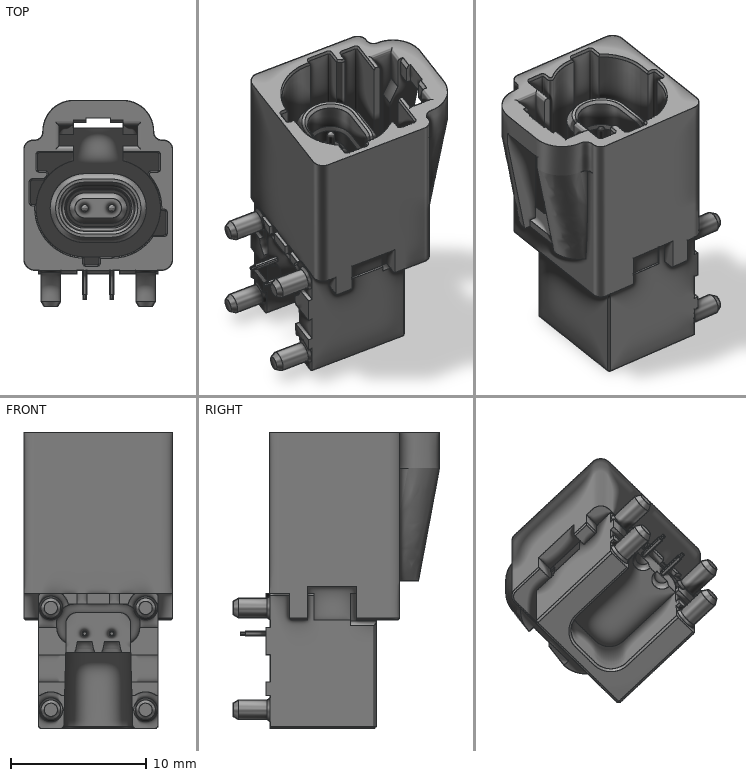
import cadquery as cq
import math

EPS = 0.5

HOUSING_W = 11.0
HOUSING_FRONT = -4.6
HOUSING_BACK = 5.03
HOUSING_BOTTOM = -13.86
HOUSING_CORNER_R = 0.85
HOUSING_BACK_CORNER_R = 0.7
HOUSING_EDGE = 0.13
FRONT_WALL_END = -11.9
SKIRT_FRONT = -3.11

HOOD_W = 8.2
HOOD_BACK = 7.97
HOOD_CORNER_R = 2.3
HOOD_BLEND_R = 0.6
HOOD_SLOPE_START = -2.67
HOOD_BOTTOM = -10.98
HOOD_SHIFT = 1.55
HOOD_BASE_Y = 2.0

CONTACT_PITCH = 2.0
CAVITY_R = 3.6
CAVITY_FLOOR = -10.4
WING_FLOOR = -9.9
KEY_FLOOR = -9.9
KEY_CORNER_R = 0.15
WING_HALF_W = 4.5
WING_BOTTOM, WING_TOP = 2.75, 4.1
WING_NOSE_R = 0.25
NOSE_REACH = 0.1
KEYWAYS = (
    (-5.0, -3.0, 0.27, 2.08),
    (3.0, 5.0, -2.0, -0.17),
    (-1.05, 0.05, -4.2, -3.0),
)
LEAD_IN, LEAD_IN_DEPTH = 0.1, 0.2

LATCH_HALF_W = 1.83
LATCH_FLOOR_END = 5.94
LATCH_WINDOW_TOP = -1.65
PANEL_TOP_Y, PANEL_BOTTOM_Y = 6.52, 6.32
PANEL_LEAD_IN_DEPTH = 0.3
PANEL_NOTCH_HALF_W = 0.9
PANEL_NOTCH_Y = 6.65
POCKET_HALF_W = 2.9
POCKET_FRONT, POCKET_BACK = 4.6, 6.1
POCKET_LOW_BACK = 5.43
POCKET_SLOPE_START, POCKET_SLOPE_END = -2.8, -4.2
POCKET_RIM_R = 0.28

SHIELD_R = 2.55
SHIELD_TOP = -2.9
SHIELD_SHOULDER_R, SHIELD_RIM_R = 2.4, 2.15
SHIELD_BEVEL = 0.25
MOUTH_R, BORE_R, LEDGE_R, BORE_LOW_R = 1.92, 1.71, 1.48, 1.35
LEDGE_TOP = -5.0
BORE_FLOOR = -8.5
ISLAND_R = 1.12
ISLAND_TOP = -5.5
ISLAND_CHAMFER = 0.4
PIN_R = 0.27
PIN_DOME_R = 0.24
PIN_TOP = -4.0

BODY_HALF_W = 4.43
BODY_FRONT = -4.54
BODY_BACK = 3.31
BODY_BOTTOM = -21.9
BODY_EDGE = 0.17
SHOULDER_TOP, SHOULDER_BOTTOM = -13.95, -14.26
SHOULDER_DEPTH = 0.3

WINDOW_FRONT, WINDOW_BACK = -1.79, 1.84
WINDOW_TOP = -11.38
TAB_FRONT, TAB_BACK = -1.31, 1.41
TAB_STEP = 0.16
TOP_EDGE = TAB_STEP

CHANNEL_HALF_W = 2.4
CHANNEL_LOW_HALF_W = 2.55
CHANNEL_BACK = 2.3
CHANNEL_FLAT_HALF_W = 0.96
INSERT_TOP, INSERT_BOTTOM = -13.32, -16.28
INSERT_CORNER_R = 0.85
FRAME_HALF_W = 3.07
FRAME_TOP, FRAME_BOTTOM = -12.7, -15.7
FRAME_CORNER_R = 1.3
FRAME_DEPTH = 0.25
NOTCH_TOP, NOTCH_FLARE = -15.47, -16.02
NOTCH_TOP_R, NOTCH_FLARE_R, NOTCH_MOUTH_R = 0.54, 0.65, 0.75

PAD_FACE = -4.86
TOP_PAD_INNER = 1.57
CENTRE_PAD_HALF_W = 0.83
MID_PAD = (-16.44, -14.42)
LOW_PAD = (-19.45, -18.43)
POST_X = 3.5
POST_Z = (-12.98, -20.5)
POST_R, POST_BASE_R, POST_TIP_R = 0.73, 0.88, 0.49
POST_BASE_END, POST_TIP_START, POST_END = -4.76, -6.88, -7.28
POST_CLEARANCE_R = 1.32
TAIL_Z = -14.87
TAIL_SIZE, TAIL_TIP_SIZE = 0.36, 0.26
TAIL_EDGE = 0.08
TAIL_SHOULDER, TAIL_END = -6.36, -6.73


def block(x0, x1, y0, y1, z0, z1):
    """Axis-aligned box between two opposite corners."""
    return cq.Workplane("XY").box(x1 - x0, y1 - y0, z1 - z0, centered=False).translate((x0, y0, z0))


def stadium(radius, z0, z1, taper=0):
    """Upright prism with a round end about each contact, widest at z0 when tapered."""
    length = CONTACT_PITCH + 2 * radius
    return cq.Workplane("XY").workplane(offset=z0).slot2D(length, 2 * radius).extrude(z1 - z0, taper=taper)


def stadium_cone(r0, r1, z0, z1):
    """Stadium whose end radius runs from r0 at z0 to r1 at z1 (r1 < r0)."""
    return stadium(r0, z0, z1, math.degrees(math.atan2(r0 - r1, abs(z1 - z0))))


def both_sides(solid):
    """The solid together with its mirror image across X = 0."""
    return solid.union(solid.mirror("YZ"))


def hood_outline(z, shift):
    """Hood cross-section at height z, its rounded back moved in by shift."""
    half = HOOD_W / 2
    back = HOOD_BACK - shift
    r = HOOD_CORNER_R
    k = r * (1 - math.sqrt(0.5))
    return (
        cq.Workplane("XY").workplane(offset=z)
        .moveTo(-half, HOOD_BASE_Y)
        .lineTo(-half, back - r)
        .threePointArc((-half + k, back - k), (-half + r, back))
        .lineTo(half - r, back)
        .threePointArc((half - k, back - k), (half, back - r))
        .lineTo(half, HOOD_BASE_Y)
        .close()
    )


def make_hood():
    straight = hood_outline(HOOD_SLOPE_START, 0).extrude(-HOOD_SLOPE_START)
    top_wire = hood_outline(HOOD_SLOPE_START, 0).val()
    low_wire = hood_outline(HOOD_BOTTOM, HOOD_SHIFT).val()
    sloped = cq.Solid.makeLoft([low_wire, top_wire], True)
    return straight.union(cq.Workplane(obj=sloped))


def make_hood_blends():
    """Concave fillets where the hood sides meet the back of the housing."""
    x0 = HOOD_W / 2
    y0 = HOUSING_BACK
    r = HOOD_BLEND_R
    k = r * (1 - math.sqrt(0.5))
    blend = (
        cq.Workplane("XY").moveTo(x0, y0)
        .lineTo(x0 + r, y0)
        .threePointArc((x0 + k, y0 + k), (x0, y0 + r))
        .close().extrude(HOOD_SLOPE_START)
    )
    return both_sides(blend)


def make_housing():
    half = HOUSING_W / 2
    shell = block(-half, half, HOUSING_FRONT, HOUSING_BACK, HOUSING_BOTTOM, 0)
    shell = shell.edges("|Z and <Y").fillet(HOUSING_CORNER_R)
    shell = shell.edges("|Z and >Y").fillet(HOUSING_BACK_CORNER_R)
    shell = shell.faces("<Z").chamfer(HOUSING_EDGE)
    front_cut = (
        cq.Workplane("YZ")
        .polyline([
            (HOUSING_FRONT - EPS, FRONT_WALL_END), (SKIRT_FRONT, FRONT_WALL_END),
            (SKIRT_FRONT, HOUSING_BOTTOM + HOUSING_EDGE), (SKIRT_FRONT + HOUSING_EDGE, HOUSING_BOTTOM),
            (HOUSING_FRONT - EPS, HOUSING_BOTTOM),
        ])
        .close().extrude(half + EPS, both=True)
    )
    window = block(BODY_HALF_W, half + EPS, WINDOW_FRONT, WINDOW_BACK, HOUSING_BOTTOM - EPS, WINDOW_TOP)
    return shell.cut(front_cut).cut(both_sides(window)).union(make_hood()).union(make_hood_blends())


def key_slot(x0, x1, y0, y1, floor):
    slot = block(x0, x1, y0, y1, floor, 0)
    return slot.edges("|Z").fillet(KEY_CORNER_R)


def opening(round_floor, wing_floor, key_floor):
    """Round-ended cavity with two top wings and three keyways, each down to its own floor."""
    wings = key_slot(-WING_HALF_W, WING_HALF_W, WING_BOTTOM, WING_TOP, wing_floor)
    shape = stadium(CAVITY_R, round_floor, 0).union(wings)
    for keyway in KEYWAYS:
        shape = shape.union(key_slot(*keyway, key_floor))
    nose_x = CONTACT_PITCH / 2 + math.sqrt(CAVITY_R**2 - WING_BOTTOM**2)
    for x in (-nose_x, nose_x):
        near_nose = cq.selectors.BoxSelector(
            (x - NOSE_REACH, WING_BOTTOM - NOSE_REACH, CAVITY_FLOOR),
            (x + NOSE_REACH, WING_BOTTOM + NOSE_REACH, 0))
        shape = shape.edges("|Z").edges(near_nose).fillet(WING_NOSE_R)
    return shape


def make_cavity():
    cavity = opening(CAVITY_FLOOR, WING_FLOOR, KEY_FLOOR)
    lip = opening(-LEAD_IN_DEPTH, -LEAD_IN_DEPTH, -LEAD_IN_DEPTH)
    flare = math.degrees(math.atan2(LEAD_IN, LEAD_IN_DEPTH))
    lead_in = lip.faces("<Z").wires().toPending().extrude(LEAD_IN_DEPTH, taper=-flare)
    latch_lane = block(-LATCH_HALF_W, LATCH_HALF_W, 0, LATCH_FLOOR_END, CAVITY_FLOOR, 0)
    return cavity.union(lead_in).union(latch_lane)


def cut_latch_pocket(part):
    """Hood pocket with a stepped back wall and a rounded rim."""
    profile = [
        (POCKET_FRONT, 0), (POCKET_BACK, 0), (POCKET_BACK, POCKET_SLOPE_START),
        (POCKET_LOW_BACK, POCKET_SLOPE_END), (POCKET_LOW_BACK, CAVITY_FLOOR),
        (POCKET_FRONT, CAVITY_FLOOR),
    ]
    pocket = cq.Workplane("YZ").polyline(profile).close().extrude(POCKET_HALF_W, both=True)
    around_rim = cq.selectors.BoxSelector(
        (-POCKET_HALF_W - POCKET_RIM_R, POCKET_FRONT - POCKET_RIM_R, -POCKET_RIM_R),
        (POCKET_HALF_W + POCKET_RIM_R, POCKET_BACK + POCKET_RIM_R, POCKET_RIM_R))
    return part.cut(pocket).edges(around_rim).edges("#Z").fillet(POCKET_RIM_R)


def make_latch_window():
    """Passage behind the latch lane: beveled panel, centre notch and hole in the sloped back."""
    panel = (
        cq.Workplane("YZ")
        .polyline([
            (POCKET_FRONT, 0), (PANEL_TOP_Y, 0), (PANEL_BOTTOM_Y, -PANEL_LEAD_IN_DEPTH),
            (PANEL_BOTTOM_Y, LATCH_WINDOW_TOP), (POCKET_FRONT, LATCH_WINDOW_TOP),
        ])
        .close().extrude(LATCH_HALF_W, both=True)
    )
    notch = block(-PANEL_NOTCH_HALF_W, PANEL_NOTCH_HALF_W, POCKET_FRONT, PANEL_NOTCH_Y,
                  LATCH_WINDOW_TOP, EPS)
    window = block(-LATCH_HALF_W, LATCH_HALF_W, LATCH_FLOOR_END, HOOD_BACK + EPS,
                   HOOD_BOTTOM - EPS, LATCH_WINDOW_TOP)
    return panel.union(notch).union(window)


def make_shield_tube():
    shoulder = SHIELD_TOP - SHIELD_BEVEL
    base = shoulder - SHIELD_BEVEL
    tube = stadium(SHIELD_R, CAVITY_FLOOR - EPS, base)
    tube = tube.union(stadium_cone(SHIELD_R, SHIELD_SHOULDER_R, base, shoulder))
    return tube.union(stadium_cone(SHIELD_SHOULDER_R, SHIELD_RIM_R, shoulder, SHIELD_TOP))


def make_shield_bore():
    """Bore with a 45 degree mouth, a 45 degree ledge and a slightly drafted lower part."""
    mouth_end = SHIELD_TOP - (MOUTH_R - BORE_R)
    ledge_end = LEDGE_TOP - (BORE_R - LEDGE_R)
    bore = stadium_cone(MOUTH_R, BORE_R, SHIELD_TOP, mouth_end)
    bore = bore.union(stadium(BORE_R, LEDGE_TOP, mouth_end))
    bore = bore.union(stadium_cone(BORE_R, LEDGE_R, LEDGE_TOP, ledge_end))
    return bore.union(stadium_cone(LEDGE_R, BORE_LOW_R, ledge_end, BORE_FLOOR))


def make_dielectric():
    island = stadium(ISLAND_R, BORE_FLOOR - EPS, ISLAND_TOP).faces(">Z").edges().chamfer(ISLAND_CHAMFER)
    half = CONTACT_PITCH / 2
    pins = (
        cq.Workplane("XY").workplane(offset=ISLAND_TOP - EPS)
        .pushPoints([(-half, 0), (half, 0)]).circle(PIN_R).extrude(PIN_TOP - ISLAND_TOP + EPS)
        .faces(">Z").edges().fillet(PIN_DOME_R)
    )
    return island.union(pins)


def rounded_plate(half_w, z0, z1, corner_r, y0, y1, corners):
    plate = block(-half_w, half_w, y0, y1, z0, z1)
    return plate.edges(corners).fillet(corner_r)


def make_channel():
    """Drafted slot between the legs, rounded at its back, flared at the bottom edge."""
    front = BODY_FRONT - EPS
    bend = math.sqrt(0.5)

    def outline(half_w, back, z):
        flat = CHANNEL_FLAT_HALF_W
        r = half_w - flat
        return (
            cq.Workplane("XY").workplane(offset=z)
            .moveTo(-half_w, front)
            .lineTo(-half_w, back - r)
            .threePointArc((-flat - r * bend, back - r + r * bend), (-flat, back))
            .lineTo(flat, back)
            .threePointArc((flat + r * bend, back - r + r * bend), (half_w, back - r))
            .lineTo(half_w, front)
            .close().val()
        )

    top = outline(CHANNEL_HALF_W, CHANNEL_BACK, INSERT_BOTTOM)
    low = outline(CHANNEL_LOW_HALF_W, CHANNEL_BACK, BODY_BOTTOM + BODY_EDGE)
    mouth = outline(CHANNEL_LOW_HALF_W + BODY_EDGE, CHANNEL_BACK + BODY_EDGE, BODY_BOTTOM)
    slot = cq.Workplane(obj=cq.Solid.makeLoft([low, top], True))
    return slot.union(cq.Workplane(obj=cq.Solid.makeLoft([mouth, low], True)))


def make_frame_recess():
    """Shallow rounded recess that leaves the insert standing in its middle."""
    frame = rounded_plate(FRAME_HALF_W, FRAME_BOTTOM, FRAME_TOP, FRAME_CORNER_R,
                          PAD_FACE - EPS, BODY_FRONT + FRAME_DEPTH, "|Y")
    insert = rounded_plate(CHANNEL_HALF_W, INSERT_BOTTOM, INSERT_TOP, INSERT_CORNER_R,
                           BODY_FRONT, BODY_FRONT + FRAME_DEPTH, "|Y and >Z")
    return frame.cut(insert)


def make_notches():
    """Flared half-round notches in the lower edge of the insert, one per contact."""
    notch = (
        cq.Workplane("XZ")
        .polyline([
            (0, NOTCH_TOP), (NOTCH_TOP_R, NOTCH_TOP), (NOTCH_FLARE_R, NOTCH_FLARE),
            (NOTCH_MOUTH_R, INSERT_BOTTOM), (0, INSERT_BOTTOM),
        ])
        .close().revolve(360, (0, 0), (0, 1))
        .translate((CONTACT_PITCH / 2, BODY_FRONT, 0))
    )
    return both_sides(notch)


def make_pads():
    y0, y1 = PAD_FACE, BODY_FRONT + EPS
    side = block(TOP_PAD_INNER, POST_X, y0, y1, FRAME_TOP, FRONT_WALL_END)
    for z0, z1 in (MID_PAD, LOW_PAD):
        side = side.union(block(CHANNEL_HALF_W, BODY_HALF_W, y0, y1, z0, z1))
    clearance = (
        cq.Workplane("XZ", origin=(0, BODY_FRONT, 0))
        .pushPoints([(POST_X, z) for z in POST_Z]).circle(POST_CLEARANCE_R)
        .extrude(BODY_FRONT - PAD_FACE + EPS)
    )
    centre = block(-CENTRE_PAD_HALF_W, CENTRE_PAD_HALF_W, y0, y1, FRAME_TOP, FRONT_WALL_END)
    return both_sides(side.cut(clearance)).union(centre)


def make_side_details():
    """Outlined snap tab, open slot behind it and the sloped shoulder, cut into both sides."""
    x0 = BODY_HALF_W
    tab = block(x0 - TAB_STEP, x0 + EPS, TAB_FRONT, TAB_BACK, HOUSING_BOTTOM, WINDOW_TOP)
    slot = block(x0 - SHOULDER_DEPTH, x0, TAB_BACK, WINDOW_BACK, SHOULDER_TOP, FRONT_WALL_END)
    shoulder = (
        cq.Workplane("XZ")
        .polyline([
            (x0 - SHOULDER_DEPTH, HOUSING_BOTTOM), (x0 - SHOULDER_DEPTH, SHOULDER_TOP),
            (x0, SHOULDER_BOTTOM), (x0 + EPS, SHOULDER_BOTTOM), (x0 + EPS, HOUSING_BOTTOM),
        ])
        .close().extrude(-(BODY_BACK - TAB_BACK + EPS)).translate((0, TAB_BACK, 0))
    )
    gap = block(x0 - TAB_STEP, x0, WINDOW_FRONT, WINDOW_BACK, FRONT_WALL_END, WINDOW_TOP)
    cuts = tab.union(slot).union(shoulder).union(gap)
    for y0, y1 in ((BODY_FRONT, SKIRT_FRONT), (WINDOW_FRONT, TAB_FRONT)):
        bevel = (
            cq.Workplane("XZ", origin=(0, y0, 0))
            .polyline([
                (x0 - TOP_EDGE, FRONT_WALL_END), (x0, FRONT_WALL_END - TOP_EDGE), (x0, FRONT_WALL_END),
            ])
            .close().extrude(y0 - y1)
        )
        cuts = cuts.union(bevel)
    return both_sides(cuts)


def make_body():
    body = block(-BODY_HALF_W, BODY_HALF_W, BODY_FRONT, BODY_BACK, BODY_BOTTOM, FRONT_WALL_END + EPS)
    return body.edges("(|Z and >Y) or (<Z and (not <Y))").chamfer(BODY_EDGE)


def make_posts():
    profile = (
        cq.Workplane("XY")
        .polyline([
            (0, BODY_FRONT + EPS), (POST_BASE_R, BODY_FRONT + EPS), (POST_BASE_R, BODY_FRONT),
            (POST_R, POST_BASE_END), (POST_R, POST_TIP_START), (POST_TIP_R, POST_END), (0, POST_END),
        ])
        .close().revolve(360, (0, 0), (0, 1))
    )
    posts = cq.Workplane("XY")
    for z in POST_Z:
        posts = posts.union(profile.translate((POST_X, 0, z)))
    return both_sides(posts)


def make_tails():
    def bar(size, end):
        centres = [(-CONTACT_PITCH / 2, TAIL_Z), (CONTACT_PITCH / 2, TAIL_Z)]
        root = BODY_FRONT + FRAME_DEPTH
        return (
            cq.Workplane("XZ", origin=(0, root, 0))
            .pushPoints(centres).rect(size, size).extrude(root - end)
            .edges("|Y").chamfer(TAIL_EDGE)
        )

    return bar(TAIL_SIZE, TAIL_SHOULDER).union(bar(TAIL_TIP_SIZE, TAIL_END))


result = make_housing().union(make_body())
result = cut_latch_pocket(result).cut(make_cavity()).cut(make_latch_window())
result = result.union(make_shield_tube()).cut(make_shield_bore()).union(make_dielectric())
result = result.cut(make_side_details()).union(make_pads())
result = result.cut(make_channel()).cut(make_frame_recess()).cut(make_notches())
result = result.union(make_posts()).union(make_tails())